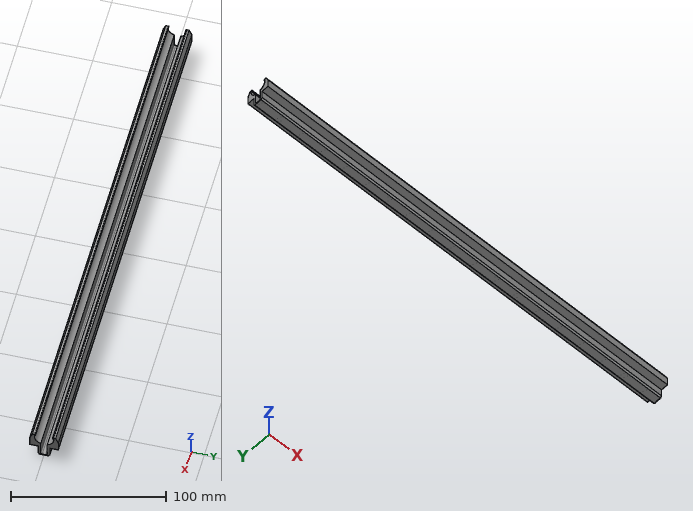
import cadquery as cq
import math

length = 350.0
width = 19.0
height = 19.0

seat_radius = 6.45
seat_axis_drop = 1.8
lip_inner_half_width = 5.65
lip_outer_half_width = 7.7
lip_thickness = 0.7

wing_top_drop = 4.0
wing_bottom_height = 8.0

stem_width = 7.9
stem_chamfer_width = 1.0
stem_chamfer_height = 1.4
slot_width = 4.3
slot_corner_radius = 1.0
floor_thickness = 0.8

half_width = width / 2
half_stem = stem_width / 2
half_slot = slot_width / 2
seat_axis_height = height - seat_axis_drop
lip_underside_height = height - lip_thickness

seat_top_half_width = math.sqrt(seat_radius**2 - (seat_axis_drop - lip_thickness) ** 2)
seat_top = (seat_top_half_width, lip_underside_height)
seat_side = (seat_radius, seat_axis_height)
slot_mouth = (half_slot, seat_axis_height - math.sqrt(seat_radius**2 - half_slot**2))

corner_inset = slot_corner_radius * (1 - math.sqrt(0.5))
corner_start = (half_slot, floor_thickness + slot_corner_radius)
corner_middle = (half_slot - corner_inset, floor_thickness + corner_inset)
corner_end = (half_slot - slot_corner_radius, floor_thickness)

outside = [
    (half_stem - stem_chamfer_width, 0),
    (half_stem, stem_chamfer_height),
    (half_stem, wing_bottom_height),
    (half_width, wing_bottom_height),
    (half_width, height - wing_top_drop),
    (lip_outer_half_width, height),
    (lip_inner_half_width, height),
    (lip_inner_half_width, lip_underside_height),
    seat_top,
]


def mirrored(point):
    """The same point on the -Y half."""
    return (-point[0], point[1])


def rail_section():
    """Closed cross-section in the YZ plane, symmetric about Y = 0."""
    outside_back = [mirrored(point) for point in reversed(outside)]
    return (
        cq.Workplane("YZ", origin=(-length / 2, 0, -height / 2))
        .polyline(outside)
        .threePointArc(seat_side, slot_mouth)
        .lineTo(*corner_start)
        .threePointArc(corner_middle, corner_end)
        .lineTo(*mirrored(corner_end))
        .threePointArc(mirrored(corner_middle), mirrored(corner_start))
        .lineTo(*mirrored(slot_mouth))
        .threePointArc(mirrored(seat_side), mirrored(seat_top))
        .polyline(outside_back[1:], includeCurrent=True)
        .close()
    )


result = rail_section().extrude(length)